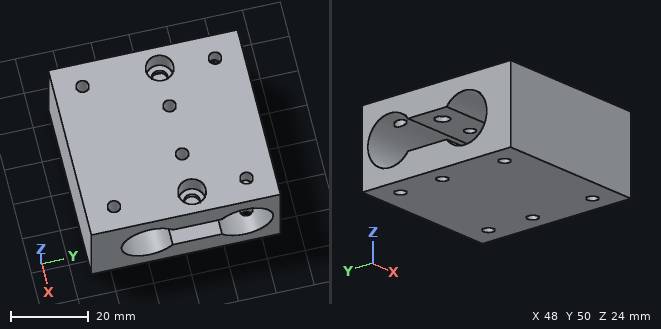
import cadquery as cq

block_x = 48.0
block_y = 50.0
block_z = 24.0
mid_z = block_z / 2

bore_line_y = 3.0
bore_diameter = 15.0
bore_spacing = 25.0
slot_height = 9.0

core_diameter = 3.3

mounting_pitch = 35.0

screw_spacing = 36.0
counterbore_diameter = 7.2
counterbore_depth = 6.0
clearance_diameter = 4.2

small_hole_spacing = 14.0


def vertical_cylinder(x, y, diameter, bottom_z, top_z):
    """Cutter for a round hole along Z."""
    return cq.Workplane("XY", origin=(x, y, bottom_z)).circle(diameter / 2).extrude(top_z - bottom_z)


def bore_and_slot_cutter():
    """Two parallel bores and the slot between them, running the full length in X."""
    profile = cq.Workplane("YZ", origin=(-block_x / 2, bore_line_y, mid_z))
    bores = (
        profile.pushPoints([(-bore_spacing / 2, 0), (bore_spacing / 2, 0)])
        .circle(bore_diameter / 2)
        .extrude(block_x)
    )
    slot = profile.rect(bore_spacing, slot_height).extrude(block_x)
    return bores.union(slot)


def clamping_screw_cutter(x):
    """Stepped hole: counterbore, clearance hole down into the slot, core hole through the lower wall."""
    counterbore = vertical_cylinder(
        x, bore_line_y, counterbore_diameter, block_z - counterbore_depth, block_z
    )
    clearance = vertical_cylinder(x, bore_line_y, clearance_diameter, mid_z, block_z)
    core_hole = vertical_cylinder(x, bore_line_y, core_diameter, 0, block_z)
    return counterbore.union(clearance).union(core_hole)


result = cq.Workplane("XY").box(block_x, block_y, block_z, centered=(True, True, False))
result = result.cut(bore_and_slot_cutter())

for side_x in (-1, 1):
    for side_y in (-1, 1):
        mounting_x = side_x * mounting_pitch / 2
        mounting_y = side_y * mounting_pitch / 2
        result = result.cut(vertical_cylinder(mounting_x, mounting_y, core_diameter, 0, block_z))

    result = result.cut(clamping_screw_cutter(side_x * screw_spacing / 2))

    small_hole_x = side_x * small_hole_spacing / 2
    result = result.cut(
        vertical_cylinder(small_hole_x, bore_line_y, core_diameter, mid_z, block_z)
    )